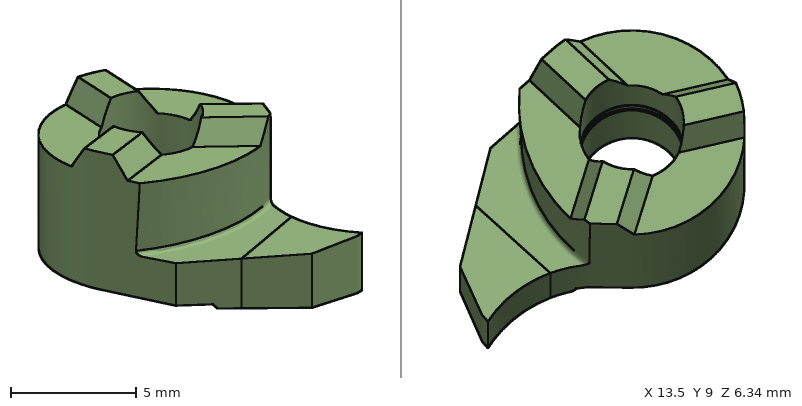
import cadquery as cq
import math

HEAD_RADIUS = 4.502
SHOULDER_HEIGHT = 5.01
CROWN_HEIGHT = 0.99
CROWN_TOP = SHOULDER_HEIGHT + CROWN_HEIGHT
UNDERSIDE_RELIEF = 0.08

BORE_RADIUS = 2.08
GROOVE_RADIUS = 2.16
GROOVE_BOTTOM = 2.65
GROOVE_CONE_START = 2.93
GROOVE_TOP = 3.17

TOOTH_ANGLES = (30, 150, 270)
TOOTH_TOP_HALF_WIDTH = 0.65
TOOTH_BASE_HALF_WIDTH = 1.32

FLAT_END_X = 3.5
ARC_START_X = 4.37
ARC_START = (ARC_START_X, HEAD_RADIUS * math.sqrt(2) - ARC_START_X)
ARC_MIDDLE = (7.36, 0.84)
TIP_POINT = (8.998, 1.01)
TIP_RELIEF = (8.96, 0.65)
TIP_HEEL = (8.07, -1.54)

STEP_START_X = 4.74
STEP_END_X = 4.9
STEP_DEPTH = 0.19
TIP_DEPTH = 0.34

JOINT_X = 5.71

WALL_CENTER = (-2.82, 1.13)
WALL_RADIUS = 7.22
WALL_TAPER = 0.02
FLOOR_HEIGHT = 1.96
FLOOR_SLOPE_X = 0.02
FLOOR_SLOPE_Y = 0.038
FLOOR_FILLET = 0.2

CUT_REACH = 16.2


def extruded_outline():
    """Plan outline of head, arm and tip, carried through the full height."""
    tangent_xy = HEAD_RADIUS / math.sqrt(2)
    return (
        cq.Workplane("XY", origin=(0, 0, -TIP_DEPTH))
        .moveTo(0, -HEAD_RADIUS)
        .lineTo(FLAT_END_X, -HEAD_RADIUS)
        .lineTo(*TIP_HEEL)
        .lineTo(*TIP_RELIEF)
        .lineTo(*TIP_POINT)
        .threePointArc(ARC_MIDDLE, ARC_START)
        .lineTo(tangent_xy, tangent_xy)
        .threePointArc((-HEAD_RADIUS, 0), (0, -HEAD_RADIUS))
        .close()
        .extrude(CROWN_TOP + TIP_DEPTH)
    )


def side_profile():
    """Side silhouette with the relieved underside and the step under the tip."""
    return (
        cq.Workplane("XZ")
        .polyline([
            (-HEAD_RADIUS, UNDERSIDE_RELIEF),
            (0, 0),
            (STEP_START_X, 0),
            (STEP_END_X, -STEP_DEPTH),
            (TIP_POINT[0], -TIP_DEPTH),
            (TIP_POINT[0], CROWN_TOP),
            (-HEAD_RADIUS, CROWN_TOP),
        ])
        .close()
        .extrude(CUT_REACH, both=True)
    )


def crown_envelope():
    """Everything below the shoulder plus three radial trapezoid teeth."""
    size = 2 * CUT_REACH
    envelope = cq.Workplane("XY").box(size, size, size).translate((0, 0, SHOULDER_HEIGHT - CUT_REACH))
    tooth = (
        cq.Workplane("YZ")
        .polyline([
            (-TOOTH_BASE_HALF_WIDTH, SHOULDER_HEIGHT),
            (TOOTH_BASE_HALF_WIDTH, SHOULDER_HEIGHT),
            (TOOTH_TOP_HALF_WIDTH, CROWN_TOP),
            (-TOOTH_TOP_HALF_WIDTH, CROWN_TOP),
        ])
        .close()
        .extrude(CUT_REACH)
    )
    for angle in TOOTH_ANGLES:
        envelope = envelope.union(tooth.rotate((0, 0, 0), (0, 0, 1), angle))
    return envelope


def rake_cutter():
    """Ring that clears the space above the rake floor, outside the head wall."""
    center_x, center_y = WALL_CENTER
    center_z = FLOOR_HEIGHT + FLOOR_SLOPE_X * center_x + FLOOR_SLOPE_Y * center_y
    floor_plane = cq.Plane(
        origin=(center_x, center_y, center_z),
        xDir=(1, 0, FLOOR_SLOPE_X),
        normal=(-FLOOR_SLOPE_X, -FLOOR_SLOPE_Y, 1),
    )
    fillet_offset = FLOOR_FILLET * (1 - math.sqrt(0.5))
    return (
        cq.Workplane(floor_plane)
        .transformed(rotate=(90, 0, 0))
        .moveTo(WALL_RADIUS + FLOOR_FILLET, 0)
        .lineTo(CUT_REACH, 0)
        .lineTo(CUT_REACH, CROWN_TOP)
        .lineTo(WALL_RADIUS + WALL_TAPER * CROWN_TOP, CROWN_TOP)
        .lineTo(WALL_RADIUS, FLOOR_FILLET)
        .threePointArc(
            (WALL_RADIUS + fillet_offset, fillet_offset),
            (WALL_RADIUS + FLOOR_FILLET, 0),
        )
        .close()
        .revolve(360, (0, 0, 0), (0, 1, 0))
    )


def bore_cutter():
    """Through bore with a groove that has a conical upper side."""
    return (
        cq.Workplane("XZ")
        .polyline([
            (0, -TIP_DEPTH),
            (BORE_RADIUS, -TIP_DEPTH),
            (BORE_RADIUS, GROOVE_BOTTOM),
            (GROOVE_RADIUS, GROOVE_BOTTOM),
            (GROOVE_RADIUS, GROOVE_CONE_START),
            (BORE_RADIUS, GROOVE_TOP),
            (BORE_RADIUS, CROWN_TOP),
            (0, CROWN_TOP),
        ])
        .close()
        .revolve(360, (0, 0, 0), (0, 1, 0))
    )


def tip_side():
    """Half space on the tip side of the joint plane."""
    size = 2 * CUT_REACH
    return cq.Workplane("XY").box(size, size, size).translate((JOINT_X + CUT_REACH, 0, 0))


def whole_blank():
    """Shared shape of holder and tip, before they are divided and bored."""
    return extruded_outline().intersect(side_profile()).intersect(crown_envelope()).cut(rake_cutter())


def make_holder():
    return whole_blank().cut(tip_side()).cut(bore_cutter())


def make_cutting_tip():
    return whole_blank().intersect(tip_side())


holder = make_holder()
cutting_tip = make_cutting_tip()

result = cq.Compound.makeCompound([holder.val(), cutting_tip.val()])